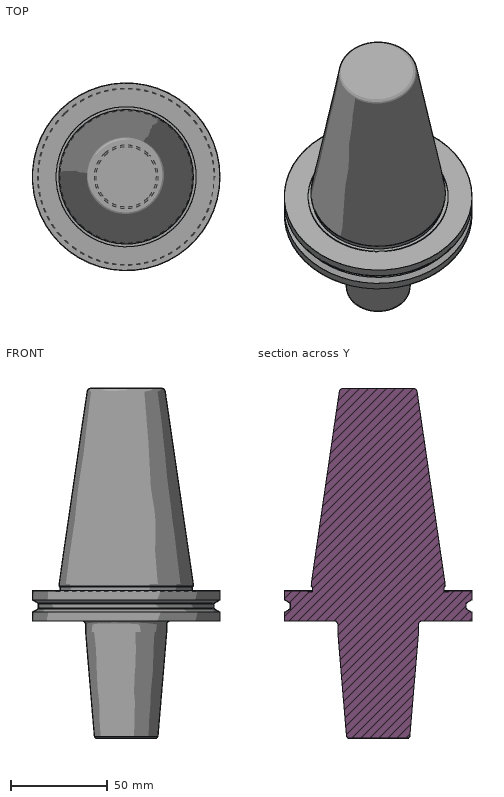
import cadquery as cq
import math

total_length = 181.8
taper_length = 101.8
gauge_z = total_length - taper_length
flange_gap = 3.3
flange_top_z = gauge_z - flange_gap
flange_thickness = 15.8
flange_bottom_z = flange_top_z - flange_thickness

gauge_radius = 34.9
taper_ratio = 7 / 24
small_end_radius = gauge_radius - taper_length * taper_ratio / 2
small_end_rounding = 2.2

taper_land = 0.9
relief_radius = 34.4
relief_chamfer = gauge_radius - relief_radius
recess_radius = 36.4
recess_depth = 0.5

flange_radius = 48.7
groove_center_drop = 11.3
groove_width = 6.4
groove_depth = 3.0
groove_flank_angle = 30.0
groove_floor_fillet = 0.7

nose_radius = 21.0
nose_collar_bottom_z = 55.0
nose_end_radius = 16.5
nose_end_chamfer = 0.9
nose_root_fillet = 1.8


def make_taper():
    """Spindle taper with a rounded small end."""
    taper = (
        cq.Workplane("XZ")
        .moveTo(0, flange_bottom_z)
        .lineTo(relief_radius, flange_bottom_z)
        .lineTo(relief_radius, gauge_z - taper_land - relief_chamfer)
        .lineTo(gauge_radius, gauge_z - taper_land)
        .lineTo(gauge_radius, gauge_z)
        .lineTo(small_end_radius, total_length)
        .lineTo(0, total_length)
        .close()
        .revolve(360, (0, 0), (0, 1))
    )
    return taper.faces(">Z").edges().fillet(small_end_rounding)


def make_flange():
    """Gripper flange with its V-groove and the shallow recess around the taper."""
    groove_z = gauge_z - groove_center_drop
    half_mouth = groove_width / 2
    half_floor = half_mouth - groove_depth * math.tan(math.radians(groove_flank_angle))
    floor_radius = flange_radius - groove_depth
    flange = (
        cq.Workplane("XZ")
        .moveTo(0, flange_bottom_z)
        .lineTo(flange_radius, flange_bottom_z)
        .lineTo(flange_radius, groove_z - half_mouth)
        .lineTo(floor_radius, groove_z - half_floor)
        .lineTo(floor_radius, groove_z + half_floor)
        .lineTo(flange_radius, groove_z + half_mouth)
        .lineTo(flange_radius, flange_top_z)
        .lineTo(recess_radius, flange_top_z)
        .lineTo(recess_radius, flange_top_z - recess_depth)
        .lineTo(0, flange_top_z - recess_depth)
        .close()
        .revolve(360, (0, 0), (0, 1))
    )
    selection_half_height = (half_floor + half_mouth) / 2
    floor_selector = cq.selectors.BoxSelector(
        (-flange_radius, -flange_radius, groove_z - selection_half_height),
        (flange_radius, flange_radius, groove_z + selection_half_height),
        boundingbox=True,
    )
    return flange.edges("%CIRCLE").edges(floor_selector).fillet(groove_floor_fillet)


def make_nose():
    """Tapered nose with a short collar that blends into the flange."""
    return (
        cq.Workplane("XZ")
        .lineTo(nose_end_radius - nose_end_chamfer, 0)
        .lineTo(nose_end_radius, nose_end_chamfer)
        .lineTo(nose_radius, nose_collar_bottom_z)
        .lineTo(nose_radius, flange_bottom_z - nose_root_fillet)
        .radiusArc((nose_radius + nose_root_fillet, flange_bottom_z), nose_root_fillet)
        .lineTo(0, flange_bottom_z)
        .close()
        .revolve(360, (0, 0), (0, 1))
    )


result = make_flange().union(make_taper()).union(make_nose())